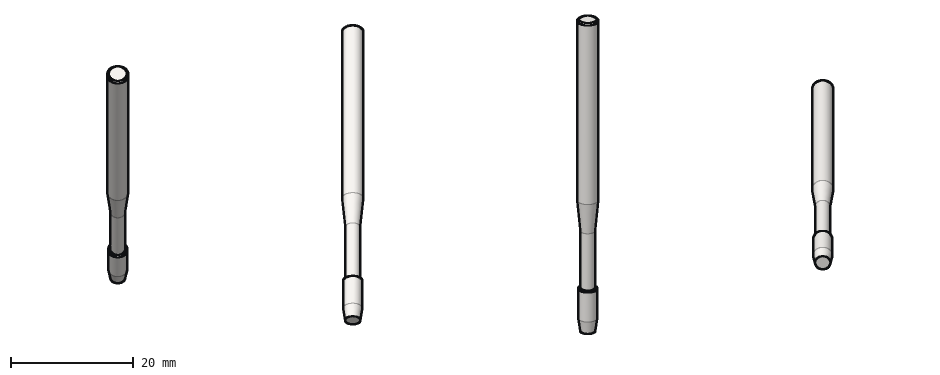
import cadquery as cq


total_length = 56.0

shank_diameter = 3.5
shank_start = 23.5
shank_chamfer = 0.3

neck_diameter = 2.45
taper_start = 18.0

head_length = 7.8
head_diameter = 3.15
head_shoulder_height = 0.2
lead_length = 2.3
tip_diameter = 2.5


def revolved_body(stations):
    """Solid of revolution about Z through (diameter, height) stations from bottom to top."""
    outline = [(-diameter / 2, height) for diameter, height in stations]
    bottom = outline[0][1]
    top = outline[-1][1]
    profile = cq.Workplane("YZ").polyline([(0, bottom), *outline, (0, top)]).close()
    return profile.revolve(360, (0, 0, 0), (0, 1, 0))


head = revolved_body([
    (tip_diameter, 0),
    (head_diameter, lead_length),
    (head_diameter, head_length - head_shoulder_height),
    (neck_diameter, head_length),
])

shank = revolved_body([
    (neck_diameter, head_length),
    (neck_diameter, taper_start),
    (shank_diameter, shank_start),
    (shank_diameter, total_length - shank_chamfer),
    (shank_diameter - 2 * shank_chamfer, total_length),
])

result = cq.Compound.makeCompound([head.val(), shank.val()])